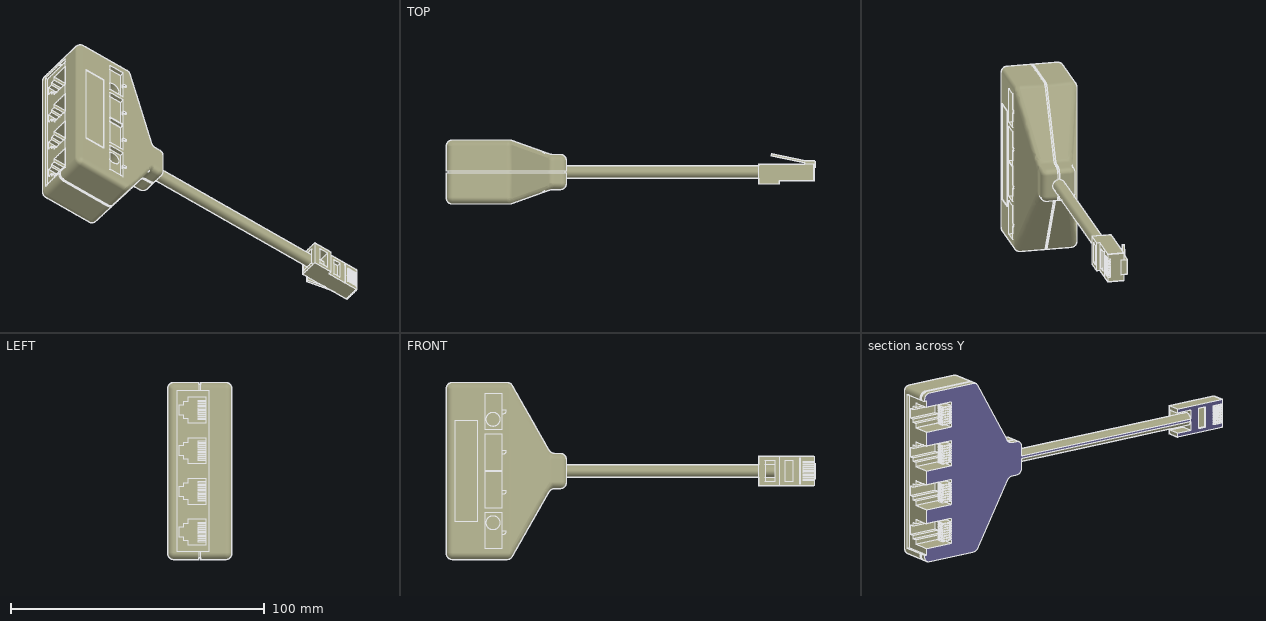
import cadquery as cq
import math

BOX_LENGTH = 25.4
BOX_WIDTH = 25.4
BOX_HEIGHT = 70.0
NECK_START = 41.3
NECK_END = 47.5
NECK_SIZE = 14.0
EDGE_RADIUS = 2.54
FRONT_Y = -BOX_WIDTH / 2

GROOVE_WIDTH = 0.7
GROOVE_DEPTH = 0.7

PANEL_Y_MIN = -3.7
PANEL_Y_MAX = 9.05
PANEL_HEIGHT = 63.6
PANEL_DEPTH = 1.0

JACK_COUNT = 4
JACK_PITCH = 16.05
JACK_DEPTH = 13.0
JACK_Y_MIN = -2.5
JACK_STEPS = [(4.65, 10.2), (6.4, 6.6), (8.2, 3.9)]
CONTACT_COUNT = 8
CONTACT_PITCH = 1.02
CONTACT_WIDTH = 0.5
JACK_CONTACT_Y_MAX = 0.75
JACK_CONTACT_SETBACK = 9.0

LABEL_X_MIN = 3.6
LABEL_X_MAX = 12.4
LABEL_HEIGHT = 40.0
LABEL_DEPTH = 0.25

POCKET_X_MIN = 15.4
POCKET_X_MAX = 22.0
POCKET_DEPTH = 1.8
POCKET_Z_RANGES = [(0.2, 14.65), (16.45, 30.5)]
POCKET_HOLE_X = 18.5
POCKET_HOLE_Z = 20.4
POCKET_HOLE_DIAMETER = 5.5
POCKET_HOLE_DEPTH = 4.0

NOTCH_PITCH = 15.85
NOTCH_SHIFT_Z = -0.5
NOTCH_LENGTH = 1.6
NOTCH_HEIGHT = 1.4
NOTCH_CORNER_RADIUS = 1.0
NOTCH_DEPTH = 0.8

CABLE_RADIUS = 2.54
CABLE_END = 129.7

PLUG_START = 123.3
PLUG_END = 145.35
PLUG_HEIGHT = 11.7
PLUG_Y_MAX = 3.07
PLUG_Y_MIN = -3.45
PLUG_HEEL_Y = -4.75
PLUG_HEEL_END = 131.4
PLUG_NOSE_LENGTH = 0.4
PLUG_NOSE_INSET = 0.1
WINDOW_HEIGHT = 8.2
REAR_WINDOW_START = 125.9
FRONT_WINDOW_START = 133.75
FRONT_WINDOW_END = 136.85
FRONT_WINDOW_DEPTH = 1.6
CROSS_GROOVE_X = 139.5
CROSS_GROOVE_WIDTH = 0.4
CROSS_GROOVE_HEIGHT = 10.4
CROSS_GROOVE_DEPTH = 0.6
CONTACT_SLOT_START = 140.7
CONTACT_SLOT_DEPTH = 1.0

LATCH_END = 145.64
LATCH_WIDTH = 6.1
LATCH_Y_MAX = 4.5
LATCH_LIP_Y = 1.8
LATCH_BEND_X = 141.5
LATCH_TIP_X = 128.35
LATCH_TIP_Y = 7.25
LATCH_THICKNESS = 0.9
LATCH_CORNER_CUT = 0.4


def block(x_range, y_range, z_range):
    """Box between two corners given as ranges along each axis."""
    sizes = [high - low for low, high in (x_range, y_range, z_range)]
    corner = (x_range[0], y_range[0], z_range[0])
    return cq.Workplane("XY").box(*sizes, centered=False).translate(corner)


def centred(size):
    return (-size / 2, size / 2)


def row(count, pitch):
    """Positions of equally spaced items centred on zero."""
    return [(i - (count - 1) / 2) * pitch for i in range(count)]


def housing_shell():
    box = block((0, BOX_LENGTH), centred(BOX_WIDTH), centred(BOX_HEIGHT))
    taper = (
        cq.Workplane("YZ", origin=(BOX_LENGTH, 0, 0))
        .rect(BOX_WIDTH, BOX_HEIGHT)
        .workplane(offset=NECK_START - BOX_LENGTH)
        .rect(NECK_SIZE, NECK_SIZE)
        .loft(ruled=True)
    )
    neck = block((NECK_START, NECK_END), centred(NECK_SIZE), centred(NECK_SIZE))
    return box.union(taper).union(neck).edges().fillet(EDGE_RADIUS)


def parting_groove():
    half_height = BOX_HEIGHT / 2
    half_neck = NECK_SIZE / 2
    upper = [(0, half_height), (BOX_LENGTH, half_height), (NECK_START, half_neck), (NECK_END, half_neck)]
    lower = [(x, -z) for x, z in reversed(upper)]
    section = (
        cq.Workplane("XZ", origin=(0, GROOVE_WIDTH / 2, 0))
        .polyline(upper + lower)
        .close()
        .extrude(GROOVE_WIDTH)
        .edges("|Y")
        .fillet(EDGE_RADIUS)
    )
    core_outline = section.faces("<Y").wires().toPending().offset2D(-GROOVE_DEPTH)
    core = core_outline.extrude(-GROOVE_WIDTH, combine=False)
    return section.cut(core)


def jack_opening(z):
    opening = None
    for y_max, height in JACK_STEPS:
        step = block((0, JACK_DEPTH), (JACK_Y_MIN, y_max), centred(height))
        opening = step if opening is None else opening.union(step)
    for contact_z in row(CONTACT_COUNT, CONTACT_PITCH):
        contact = block(
            (JACK_CONTACT_SETBACK, JACK_DEPTH),
            (JACK_Y_MIN, JACK_CONTACT_Y_MAX),
            centred(CONTACT_WIDTH),
        )
        opening = opening.cut(contact.translate((0, 0, contact_z)))
    return opening.translate((0, 0, z))


def pocket(z_range):
    return block((POCKET_X_MIN, POCKET_X_MAX), (FRONT_Y, FRONT_Y + POCKET_DEPTH), z_range)


def pocket_hole(z):
    return (
        cq.Workplane("XZ", origin=(POCKET_HOLE_X, FRONT_Y, z))
        .circle(POCKET_HOLE_DIAMETER / 2)
        .extrude(-POCKET_DEPTH - POCKET_HOLE_DEPTH)
    )


def notch(z):
    shape = block(
        (POCKET_X_MAX, POCKET_X_MAX + NOTCH_LENGTH),
        (FRONT_Y, FRONT_Y + NOTCH_DEPTH),
        centred(NOTCH_HEIGHT),
    )
    shape = shape.edges("|Y and >X and <Z").fillet(NOTCH_CORNER_RADIUS)
    return shape.translate((0, 0, z))


def make_housing():
    """Housing with its fixed cable, whose free end sits in the plug cavity."""
    body = housing_shell().cut(parting_groove())
    body = body.cut(block((0, PANEL_DEPTH), (PANEL_Y_MIN, PANEL_Y_MAX), centred(PANEL_HEIGHT)))
    for z in row(JACK_COUNT, JACK_PITCH):
        body = body.cut(jack_opening(z))
    body = body.cut(
        block((LABEL_X_MIN, LABEL_X_MAX), (FRONT_Y, FRONT_Y + LABEL_DEPTH), centred(LABEL_HEIGHT))
    )
    for z_low, z_high in POCKET_Z_RANGES:
        body = body.cut(pocket((z_low, z_high))).cut(pocket((-z_high, -z_low)))
    for z in (-POCKET_HOLE_Z, POCKET_HOLE_Z):
        body = body.cut(pocket_hole(z))
    for z in row(JACK_COUNT, NOTCH_PITCH):
        body = body.cut(notch(z + NOTCH_SHIFT_Z))
    cable = (
        cq.Workplane("YZ", origin=(NECK_START, 0, 0))
        .circle(CABLE_RADIUS)
        .extrude(CABLE_END - NECK_START)
    )
    return body.union(cable)


def latch():
    """Lever hooked over the front edge of the plug and rising toward the cable."""
    slope = math.atan2(LATCH_TIP_Y - LATCH_Y_MAX, LATCH_BEND_X - LATCH_TIP_X)
    tip_lower = (
        LATCH_TIP_X - LATCH_THICKNESS * math.sin(slope),
        LATCH_TIP_Y - LATCH_THICKNESS * math.cos(slope),
    )
    outline = [
        (PLUG_END, LATCH_LIP_Y),
        (LATCH_END, LATCH_LIP_Y),
        (LATCH_END, LATCH_Y_MAX - LATCH_CORNER_CUT),
        (LATCH_END - LATCH_CORNER_CUT, LATCH_Y_MAX),
        (LATCH_BEND_X, LATCH_Y_MAX),
        (LATCH_TIP_X, LATCH_TIP_Y),
        tip_lower,
        (LATCH_BEND_X, LATCH_Y_MAX - LATCH_THICKNESS),
        (LATCH_BEND_X, PLUG_Y_MAX),
        (PLUG_END, PLUG_Y_MAX),
    ]
    return cq.Workplane("XY", origin=(0, 0, -LATCH_WIDTH / 2)).polyline(outline).close().extrude(LATCH_WIDTH)


def plug_shell():
    rear = block((PLUG_START, PLUG_HEEL_END), (PLUG_HEEL_Y, PLUG_Y_MAX), centred(PLUG_HEIGHT))
    front_end = PLUG_END - PLUG_NOSE_LENGTH
    front = block((PLUG_START, front_end), (PLUG_Y_MIN, PLUG_Y_MAX), centred(PLUG_HEIGHT))
    nose = block((front_end, PLUG_END), (PLUG_Y_MIN, PLUG_Y_MAX), centred(PLUG_HEIGHT - 2 * PLUG_NOSE_INSET))
    return rear.union(front).union(nose)


def make_plug():
    body = plug_shell().union(latch())
    cavity = block((PLUG_START, CABLE_END), (-CABLE_RADIUS, CABLE_RADIUS), centred(WINDOW_HEIGHT))
    rear_window = block((REAR_WINDOW_START, CABLE_END), (PLUG_HEEL_Y, 0), centred(WINDOW_HEIGHT))
    front_window = block(
        (FRONT_WINDOW_START, FRONT_WINDOW_END),
        (PLUG_Y_MIN, PLUG_Y_MIN + FRONT_WINDOW_DEPTH),
        centred(WINDOW_HEIGHT),
    )
    cross_groove = block(
        centred(CROSS_GROOVE_WIDTH),
        (PLUG_Y_MIN, PLUG_Y_MIN + CROSS_GROOVE_DEPTH),
        centred(CROSS_GROOVE_HEIGHT),
    ).translate((CROSS_GROOVE_X, 0, 0))
    body = body.cut(cavity).cut(rear_window).cut(front_window).cut(cross_groove)
    for z in row(CONTACT_COUNT, CONTACT_PITCH):
        slot = block(
            (CONTACT_SLOT_START, PLUG_END),
            (PLUG_Y_MIN, PLUG_Y_MIN + CONTACT_SLOT_DEPTH),
            centred(CONTACT_WIDTH),
        )
        body = body.cut(slot.translate((0, 0, z)))
    return body


housing = make_housing()
plug = make_plug()

result = cq.Compound.makeCompound([housing.val(), plug.val()])